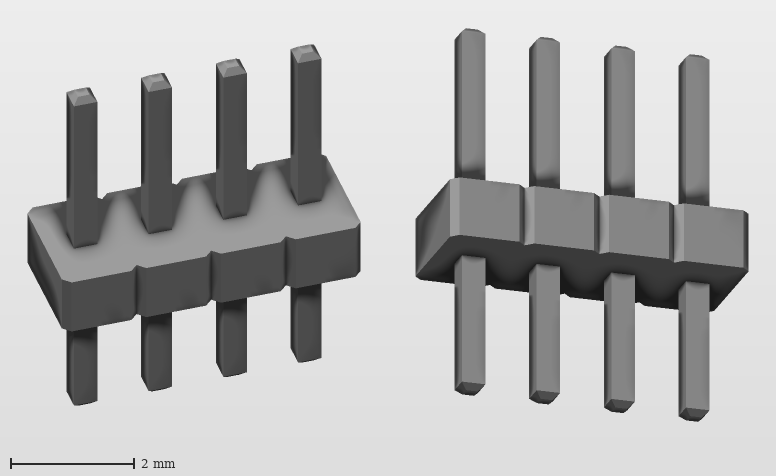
import cadquery as cq

PIN_COUNT = 4
PITCH = 1.27

BODY_WIDTH = 2.1
BODY_HEIGHT = 1.0
CORNER_CHAMFER = 0.127

PIN_WIDTH = 0.4
PIN_ABOVE_BODY = 3.0
PIN_BELOW_BODY = 2.3
PIN_TIP_CHAMFER = 0.1
PIN_LENGTH = PIN_BELOW_BODY + BODY_HEIGHT + PIN_ABOVE_BODY


def pin_positions():
    """Y positions of the pins, symmetric about the origin."""
    first_pin = -(PIN_COUNT - 1) * PITCH / 2
    return [first_pin + index * PITCH for index in range(PIN_COUNT)]


def body_cell(y):
    """One pitch-long block of the body; neighbouring chamfers meet as V notches."""
    return (
        cq.Workplane("XY")
        .center(0, y)
        .rect(BODY_WIDTH, PITCH)
        .extrude(BODY_HEIGHT)
        .edges("|Z")
        .chamfer(CORNER_CHAMFER)
    )


def pin(y):
    """One square pin through the body, with both ends chamfered all round."""
    return (
        cq.Workplane("XY")
        .workplane(offset=-PIN_BELOW_BODY)
        .center(0, y)
        .rect(PIN_WIDTH, PIN_WIDTH)
        .extrude(PIN_LENGTH)
        .faces("<Z or >Z")
        .chamfer(PIN_TIP_CHAMFER)
    )


header = cq.Workplane("XY")
for pin_y in pin_positions():
    header = header.union(body_cell(pin_y))
for pin_y in pin_positions():
    header = header.union(pin(pin_y))

result = header.clean()